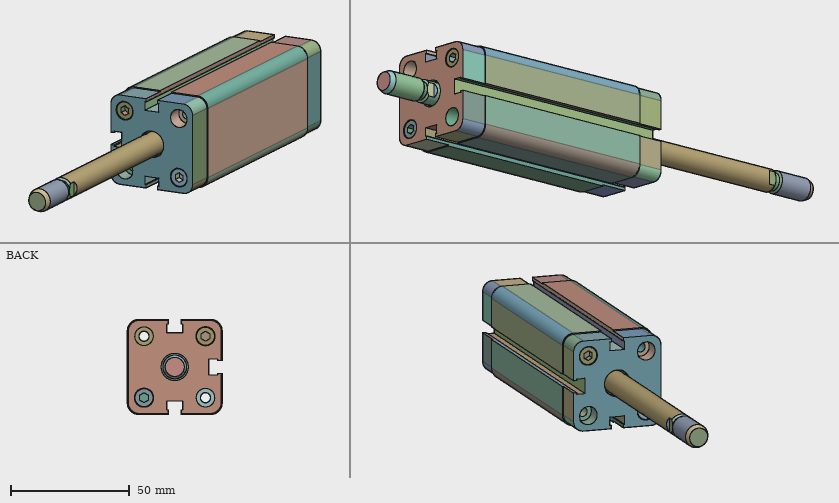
import cadquery as cq


total_length = 244.5
rear_rod_length = 27.5
housing_length = 114.7
cap_length = 12.7

body_width = 40.0
cap_width = 39.0
corner_start = 15.2

slot_mouth_width = 5.5
slot_inner_width = 6.5
slot_floor_height = 14.5
slot_lip_height = 18.0

hole_offset = 13.0
through_hole_diameter = 4.2
counterbore_diameter = 7.8
counterbore_depth = 3.0
screw_recess_diameter = 8.0
screw_recess_depth = 2.0
screw_head_diameter = 7.5
screw_head_height = 1.9
socket_corner_diameter = 4.2
socket_depth = 1.5

rod_diameter = 10.0
rod_neck_diameter = 8.0
rod_tip_length = 2.5
thread_length = 18.8
undercut_end = 22.2
undercut_taper = 0.7
flat_end = 25.5
flat_spacing = 8.0
rod_recess_diameter = 11.5
rod_recess_depth = 1.0

rear_face = total_length / 2 - rear_rod_length
front_face = rear_face - housing_length
caps = ((front_face, 2.5), (rear_face, -2.5))


def along_y(y, x=0.0, z=0.0):
    """Workplane at the given point, facing +Y, with its local x along global Z."""
    return cq.Workplane(cq.Plane(origin=(x, y, z), xDir=(0, 0, 1), normal=(0, 1, 0)))


def rounded_bar(width, start_y, end_y):
    """Square bar along Y with rounded long edges."""
    bar = along_y(start_y).rect(width, width).extrude(end_y - start_y)
    return bar.edges("|Y").fillet(width / 2 - corner_start)


def cylinder(diameter, start_y, length, x=0.0, z=0.0):
    """Cylinder parallel to Y; a negative length runs towards -Y."""
    return along_y(start_y, x, z).circle(diameter / 2).extrude(length)


def slot_cutter(width, start_y, end_y, angle):
    """T-slot for a bar of the given width, open towards +Z and then turned about Y."""
    inner = slot_inner_width / 2
    mouth = slot_mouth_width / 2
    half = [
        (inner, slot_floor_height),
        (inner, slot_lip_height),
        (mouth, slot_lip_height),
        (mouth, width / 2),
    ]
    outline = half + [(-x, z) for x, z in reversed(half)]
    profile = cq.Workplane("XZ", origin=(0, end_y, 0)).polyline(outline).close()
    return profile.extrude(end_y - start_y).rotate((0, 0, 0), (0, 1, 0), angle)


def slotted_bar(width, start_y, end_y):
    """Rounded bar with T-slots on its top, bottom and -X sides."""
    bar = rounded_bar(width, start_y, end_y)
    for angle in (0, 180, -90):
        bar = bar.cut(slot_cutter(width, start_y, end_y, angle))
    return bar


def cap_screw(x, z, face, inward):
    """Socket head screw standing on the floor of its recess."""
    floor = face + inward * screw_recess_depth
    top = floor - inward * screw_head_height
    socket = along_y(top, x, z).polygon(6, socket_corner_diameter).extrude(inward * socket_depth)
    return cylinder(screw_head_diameter, floor, top - floor, x, z).cut(socket)


def flat_cutter(side):
    """Wrench flat on one side of the front rod end, with a 45 degree run-out to the shaft."""
    tip = -total_length / 2
    flat = flat_spacing / 2
    reach = rod_diameter
    outline = [
        (side * flat, tip + undercut_end - undercut_taper),
        (side * flat, tip + flat_end),
        (side * reach, tip + flat_end + reach - flat),
        (side * reach, tip + undercut_end - undercut_taper),
    ]
    return cq.Workplane("XY").polyline(outline).close().extrude(rod_diameter / 2, both=True)


def half_rod():
    """Front half of the rod: tapered tip, thread, undercut, wrench flats and shaft."""
    tip = -total_length / 2
    radius = rod_diameter / 2
    neck = rod_neck_diameter / 2
    profile = [
        (0, tip),
        (neck, tip),
        (radius, tip + rod_tip_length),
        (radius, tip + thread_length),
        (neck, tip + thread_length + undercut_taper),
        (neck, tip + undercut_end - undercut_taper),
        (radius, tip + undercut_end),
        (radius, 0),
        (0, 0),
    ]
    rod = cq.Workplane("XY").polyline(profile).close().revolve(360, (0, 0), (0, 1))
    return rod.cut(flat_cutter(1)).cut(flat_cutter(-1))


body_start = front_face + cap_length
body_end = rear_face - cap_length
housing = slotted_bar(body_width, body_start, body_end)
housing = housing.union(slotted_bar(cap_width, front_face, body_start))
housing = housing.union(slotted_bar(cap_width, body_end, rear_face))

for face, inward in caps:
    housing = housing.cut(cylinder(rod_recess_diameter, face, inward * rod_recess_depth))

for side in (-1, 1):
    x = z = side * hole_offset
    housing = housing.cut(cylinder(through_hole_diameter, front_face, housing_length, x, z))
    for face, inward in caps:
        housing = housing.cut(cylinder(counterbore_diameter, face, inward * counterbore_depth, x, z))

for side in (-1, 1):
    x, z = side * hole_offset, -side * hole_offset
    for face, inward in caps:
        recess = cylinder(screw_recess_diameter, face, inward * screw_recess_depth, x, z)
        housing = housing.cut(recess).union(cap_screw(x, z, face, inward))

front_rod = half_rod()
rear_rod = front_rod.mirror("XZ")
result = housing.union(front_rod).union(rear_rod)